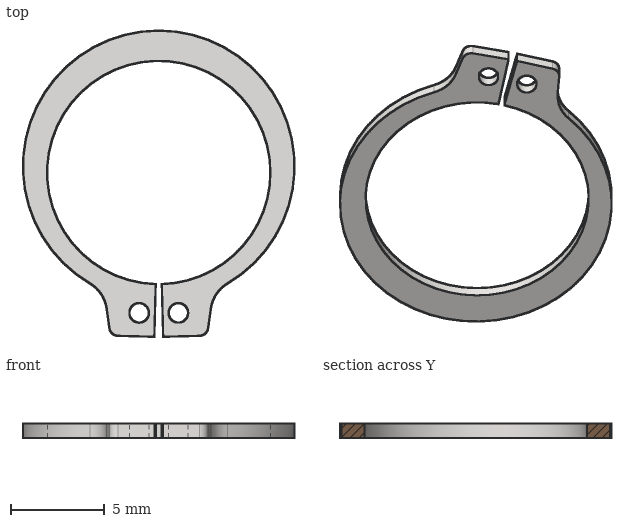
import cadquery as cq
import math

thickness = 0.78
total_length = 16.35
rim_diameter = 14.5
rim_radius = rim_diameter / 2
rim_offset = 0.33
bore_radius = 5.95

gap_half_angle = 1.5
lug_side_angle = 8.0
lug_tip_half_width = 2.58
tip_corner_radius = 0.49
root_fillet_radius = 1.83

hole_diameter = 1.03
hole_x = 1.05
hole_y = -7.49

tip_y = rim_offset + rim_radius - total_length
gap_slope = math.tan(math.radians(gap_half_angle))
side_slope = math.tan(math.radians(lug_side_angle))
gap_tip_x = -tip_y * gap_slope
corner_y = tip_y + (lug_tip_half_width - gap_tip_x) * gap_slope
lug_top_x = lug_tip_half_width - corner_y * side_slope


def make_lugs():
    """Both lugs as one tapered block reaching from the bore axis to the tips."""
    return (
        cq.Workplane("XY")
        .polyline([
            (-lug_top_x, 0),
            (-lug_tip_half_width, corner_y),
            (-gap_tip_x, tip_y),
            (gap_tip_x, tip_y),
            (lug_tip_half_width, corner_y),
            (lug_top_x, 0),
        ])
        .close()
        .extrude(thickness)
    )


def make_gap():
    """Wedge between the lugs, opening outward from the bore axis."""
    wedge_y = 2 * tip_y
    wedge_x = -wedge_y * gap_slope
    return (
        cq.Workplane("XY")
        .polyline([(0, 0), (-wedge_x, wedge_y), (wedge_x, wedge_y)])
        .close()
        .extrude(thickness)
    )


def vertical_edges_between(body, x_inner, x_outer, y_low, y_high):
    """Vertical edges on both sides, within a range of |x| and of y."""
    right = cq.selectors.BoxSelector((x_inner, y_low, 0), (x_outer, y_high, thickness))
    left = cq.selectors.BoxSelector((-x_outer, y_low, 0), (-x_inner, y_high, thickness))
    return body.edges("|Z").edges(right + left)


rim = cq.Workplane("XY").center(0, rim_offset).circle(rim_radius).extrude(thickness)
body = rim.union(make_lugs())

rim_bottom_y = rim_offset - rim_radius
body = vertical_edges_between(
    body, gap_tip_x, rim_radius, rim_bottom_y, -bore_radius / 2
).fillet(root_fillet_radius)
body = vertical_edges_between(
    body, lug_tip_half_width / 2, rim_radius, tip_y, corner_y + tip_corner_radius
).fillet(tip_corner_radius)

bore = cq.Workplane("XY").circle(bore_radius).extrude(thickness)
holes = (
    cq.Workplane("XY")
    .pushPoints([(-hole_x, hole_y), (hole_x, hole_y)])
    .circle(hole_diameter / 2)
    .extrude(thickness)
)
result = body.cut(bore).cut(make_gap()).cut(holes)